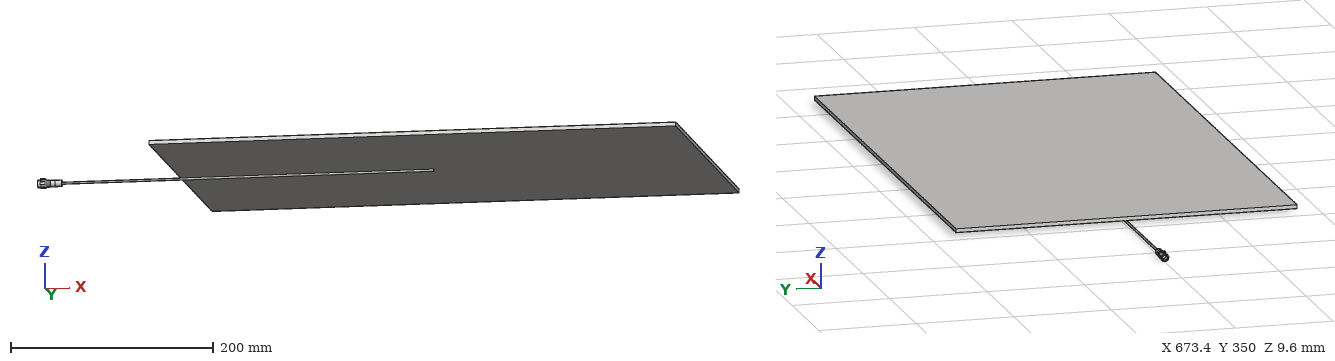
import cadquery as cq

total_length = 673.38
total_height = 9.6

panel_length = 530.0
panel_width = 350.0
panel_thickness = 4.0
panel_left = total_length - panel_length

cable_diameter = 2.2
cable_end = 398.0
axis_z = -panel_thickness - cable_diameter / 2

head_length = 9.5
head_diameter = 7.7
collar_length = 2.0
collar_diameter = 7.2
key_start = 2.9
key_length = 4.6
key_width = 3.0
side_key_span = 7.9
socket_diameter = 5.0
socket_depth = 6.0

neck_length = 1.7
neck_diameter = 6.6
grip_body_length = 4.5
grip_body_diameter = 7.0
grip_rear_length = 6.3
grip_rear_diameter = 6.6

collar_end = head_length + collar_length
neck_end = collar_end + neck_length
grip_body_end = neck_end + grip_body_length
plug_length = grip_body_end + grip_rear_length


def rod(diameter, start, length):
    """Cylinder along X, centred on the cable axis."""
    return (
        cq.Workplane("YZ", origin=(start, 0, axis_z))
        .circle(diameter / 2)
        .extrude(length)
    )


def make_panel():
    return (
        cq.Workplane("XY")
        .box(panel_length, panel_width, panel_thickness, centered=(False, True, False))
        .translate((panel_left, 0, -panel_thickness))
    )


def make_head():
    upright_keys = (
        cq.Workplane("XY")
        .box(key_length, key_width, total_height, centered=(False, True, False))
        .translate((key_start, 0, -total_height))
    )
    side_keys = (
        cq.Workplane("XY")
        .box(key_length, side_key_span, key_width, centered=(False, True, True))
        .translate((key_start, 0, axis_z))
    )
    collar = rod(collar_diameter, head_length, collar_length)
    socket = rod(socket_diameter, 0, socket_depth)
    barrel = rod(head_diameter, 0, head_length)
    return barrel.union(collar).union(upright_keys).union(side_keys).cut(socket)


def make_grip():
    neck = rod(neck_diameter, collar_end, neck_length)
    body = rod(grip_body_diameter, neck_end, grip_body_length)
    rear = rod(grip_rear_diameter, grip_body_end, grip_rear_length)
    return neck.union(body).union(rear)


def make_cable():
    return rod(cable_diameter, plug_length, cable_end - plug_length)


panel = make_panel()
head = make_head()
grip = make_grip()
cable = make_cable()

result = cq.Compound.makeCompound([panel.val(), head.val(), grip.val(), cable.val()])